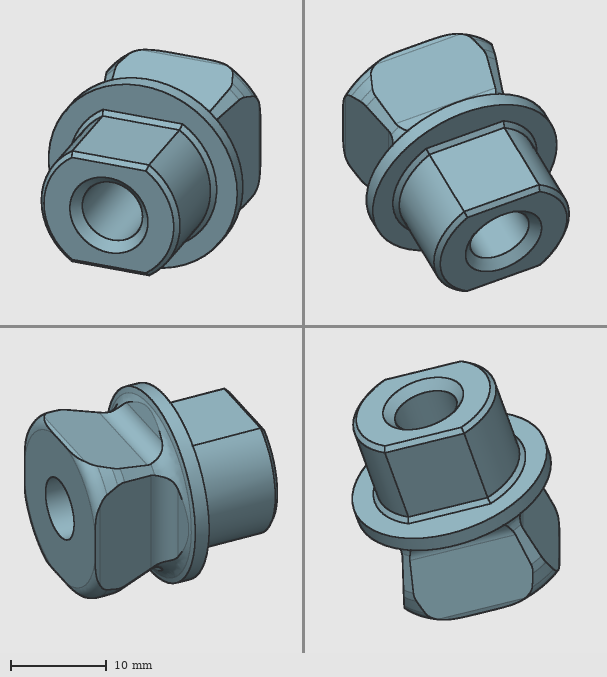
import cadquery as cq
import math

total_length = 21.75
flange_start = 9.57
flange_rim_end = 11.17

stem_radius = 7.8
stem_flat_offset = 6.5
stem_chamfer = 0.5

flange_diameter = 21.25
flange_radius = flange_diameter / 2

head_radius = 10.02
head_end_fillet = 1.5
shoulder_y = 18.33
shoulder_fillet = 3.0
corner_angle = math.radians(18)
neck_fillet = 2.0
face_angle = math.radians(15)
face_waist_offset = 6.5
face_waist_y = 13.85
face_rim_length = 0.57

bore_radius = 3.4
bore_chamfer = 1.0

trim_reach = 13.05
rim_tolerance = 0.02

flange_slope = 1 / math.tan(face_angle)
corner_slope = math.tan(corner_angle)
radius_gap = flange_radius - head_radius + corner_slope * (shoulder_y - flange_rim_end)
neck_y = flange_rim_end + radius_gap / (flange_slope + corner_slope)
neck_radius = flange_radius - flange_slope * (neck_y - flange_rim_end)


def head_blank():
    """Flange and head, turned about Y with rounded profile corners."""
    corners = [
        (0, flange_start),
        (flange_radius, flange_start),
        (flange_radius, flange_rim_end),
        (neck_radius, neck_y),
        (head_radius, shoulder_y),
        (head_radius, total_length),
        (0, total_length),
    ]
    blank = cq.Workplane("XY").polyline(corners).close().revolve(360, (0, 0), (0, 1))
    rounded_rims = [
        (neck_y, neck_fillet),
        (shoulder_y, shoulder_fillet),
        (total_length, head_end_fillet),
    ]
    for y, fillet in rounded_rims:
        rim = cq.selectors.BoxSelector(
            (-trim_reach, y - rim_tolerance, -trim_reach),
            (trim_reach, y + rim_tolerance, trim_reach),
        )
        blank = blank.edges(rim).edges("%CIRCLE").fillet(fillet)
    return blank


def face_trim():
    """Prism along Z whose two X sides are the flared head faces."""
    arc_centre = face_waist_offset + neck_fillet
    arc_rise = neck_fillet * math.sin(face_angle)
    arc_depth = neck_fillet * math.cos(face_angle)
    foot = (arc_centre - arc_rise, face_waist_y - arc_depth)
    waist = (face_waist_offset, face_waist_y)
    flare_start = (arc_centre - arc_depth, face_waist_y + arc_rise)
    rim_y = total_length - face_rim_length
    rim_offset = flare_start[0] + (rim_y - flare_start[1]) * math.tan(face_angle)

    neck_turn = math.pi / 2 - face_angle + corner_angle
    runout = neck_fillet * math.tan(neck_turn / 2)
    slope_end_offset = neck_radius + runout * math.cos(face_angle)
    slope_end_y = foot[1] - (slope_end_offset - foot[0]) * math.tan(face_angle)

    half = (
        cq.Workplane("XY")
        .moveTo(0, flange_start)
        .lineTo(trim_reach, flange_start)
        .lineTo(trim_reach, slope_end_y)
        .lineTo(slope_end_offset, slope_end_y)
        .lineTo(*foot)
        .threePointArc(waist, flare_start)
        .lineTo(rim_offset, rim_y)
        .lineTo(rim_offset, total_length)
        .lineTo(0, total_length)
        .close()
        .extrude(trim_reach, both=True)
    )
    return half.union(half.mirror("YZ"))


def stem_profile(plane, half_width):
    """Half outline with an end chamfer and a root that widens onto the flange."""
    return (
        cq.Workplane(plane)
        .polyline([
            (0, 0),
            (half_width - stem_chamfer, 0),
            (half_width, stem_chamfer),
            (half_width, flange_start - stem_chamfer),
            (half_width + stem_chamfer, flange_start),
            (0, flange_start),
        ])
        .close()
    )


def stem():
    """Round bar limited by a slab that forms the upper and lower flats."""
    bar = stem_profile("XY", stem_radius).revolve(360, (0, 0), (0, 1))
    half_slab = stem_profile("ZY", stem_flat_offset).extrude(trim_reach, both=True)
    return bar.intersect(half_slab.union(half_slab.mirror("XY")))


def bore():
    """Through hole with a countersink at the stem end."""
    return (
        cq.Workplane("XY")
        .polyline([
            (0, 0),
            (bore_radius + bore_chamfer, 0),
            (bore_radius, bore_chamfer),
            (bore_radius, total_length),
            (0, total_length),
        ])
        .close()
        .revolve(360, (0, 0), (0, 1))
    )


side_trim = face_trim()
head = head_blank().intersect(side_trim)
head = head.intersect(side_trim.rotate((0, 0, 0), (0, 1, 0), 90))
result = head.union(stem()).cut(bore())